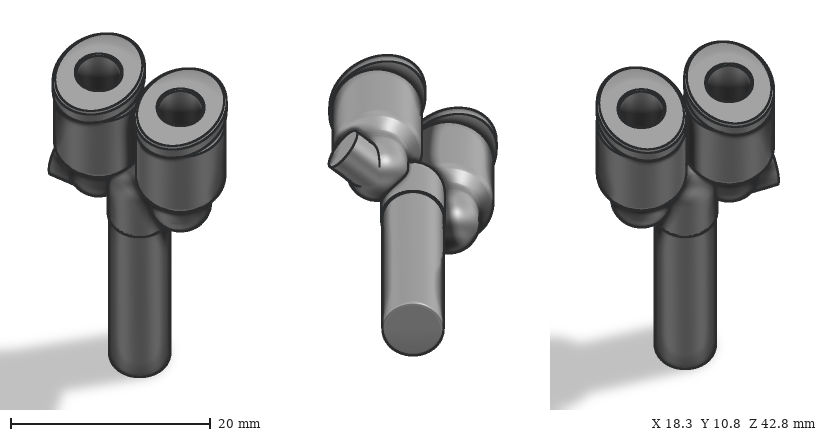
import cadquery as cq
import math

total_height = 42.8
port_offset = 4.65

body_radius = 4.5
body_top = 40.45
body_edge_height = 31.55
bulb_radius = 3.1
bulb_center_height = 27.7
cone_bottom_height = 29.7
body_blend_radius = 1.2

collar_bottom = 41.2
collar_radius_x = 4.35
collar_radius_y = 5.4
collar_chamfer = 0.25
neck_radius = 2.8
bore_radius = 2.23
bore_bottom = body_edge_height
bore_chamfer = 0.15

stem_radius = 3.1
stem_round = 0.35
sleeve_radius = 3.2
sleeve_bottom = 23.03
dome_center_height = 28.2

stub_radius = 2.23
stub_height = bulb_center_height - bulb_radius + stub_radius
stub_end = -(port_offset + body_radius)
stub_length = body_radius

web_top = 39.35
web_thickness = 0.6


def cylinder(radius, bottom, top):
    """Vertical cylinder on the Z axis."""
    return cq.Workplane("XY").workplane(offset=bottom).circle(radius).extrude(top - bottom)


def port_body():
    """Revolved body: straight wall, blended cone, short cylinder and round lower end."""
    arc_step = bulb_radius * math.sqrt(0.5)
    profile = (
        cq.Workplane("XZ")
        .moveTo(0, body_top)
        .lineTo(body_radius, body_top)
        .lineTo(body_radius, body_edge_height)
        .lineTo(bulb_radius, cone_bottom_height)
        .lineTo(bulb_radius, bulb_center_height)
        .threePointArc((arc_step, bulb_center_height - arc_step), (0, bulb_center_height - bulb_radius))
        .close()
    )
    body = profile.revolve(360, (0, 0, 0), (0, 1, 0))
    selection_margin = 0.05
    cone_edges = cq.selectors.BoxSelector(
        (-body_radius, -body_radius, cone_bottom_height - selection_margin),
        (body_radius, body_radius, body_edge_height + selection_margin),
        boundingbox=False,
    )
    return body.edges("%CIRCLE").edges(cone_edges).fillet(body_blend_radius)


def collar():
    """Oval release collar on a round neck."""
    plate = (
        cq.Workplane("XY")
        .workplane(offset=collar_bottom)
        .ellipse(collar_radius_x, collar_radius_y)
        .extrude(total_height - collar_bottom)
        .faces(">Z")
        .chamfer(collar_chamfer)
    )
    return plate.union(cylinder(neck_radius, bore_bottom, collar_bottom))


def bore():
    """Blind tube socket with a chamfered mouth."""
    mouth_radius = bore_radius + bore_chamfer
    profile = (
        cq.Workplane("XZ")
        .moveTo(0, bore_bottom)
        .lineTo(bore_radius, bore_bottom)
        .lineTo(bore_radius, total_height - bore_chamfer)
        .lineTo(mouth_radius, total_height)
        .lineTo(0, total_height)
        .close()
    )
    return profile.revolve(360, (0, 0, 0), (0, 1, 0))


def stem():
    """Plain stem below a slightly wider sleeve that ends in a dome."""
    rod = cylinder(stem_radius, 0, dome_center_height).faces("<Z").fillet(stem_round)
    sleeve = cylinder(sleeve_radius, sleeve_bottom, dome_center_height)
    dome = cq.Workplane("XY").sphere(sleeve_radius).translate((0, 0, dome_center_height))
    return rod.union(sleeve).union(dome)


def side_stub():
    """Solid round stub from its flat end to the axis of the -X port."""
    return (
        cq.Workplane("YZ")
        .workplane(offset=stub_end)
        .center(0, stub_height)
        .circle(stub_radius)
        .extrude(stub_length)
    )


def web():
    """Flat wall filling the gap between the two bodies above the dome."""
    return (
        cq.Workplane("XY")
        .workplane(offset=dome_center_height)
        .rect(2 * port_offset, web_thickness)
        .extrude(web_top - dome_center_height)
    )


result = stem().union(side_stub()).union(web())
port_solid = port_body().union(collar())
for side in (-1, 1):
    place = (side * port_offset, 0, 0)
    result = result.union(port_solid.translate(place)).cut(bore().translate(place))